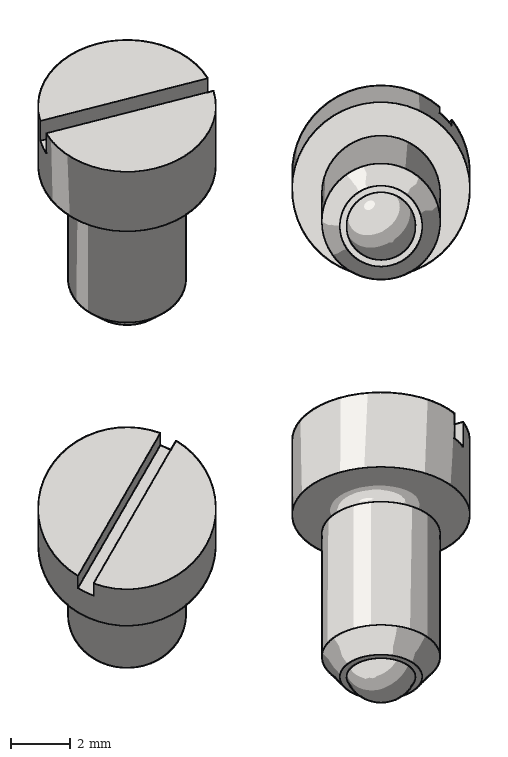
import cadquery as cq

total_length = 10.3
head_diameter = 6.0
head_height = 3.0
slot_width = 0.6
slot_depth = 1.0

shank_diameter = 4.0
groove_height = 0.75

nose_end_radius = 1.39
nose_height = 0.8
ball_radius = 1.25
ball_protrusion = 0.8

head_radius = head_diameter / 2
shank_radius = shank_diameter / 2
groove_radius = groove_height / 2
head_bottom = total_length - head_height
groove_bottom = head_bottom - groove_height
nose_bottom = ball_protrusion
nose_top = nose_bottom + nose_height


def make_ball():
    """Ball whose lowest point lies at Z = 0."""
    return cq.Workplane("XY").sphere(ball_radius).translate((0, 0, ball_radius))


def make_turned_body():
    """Head, grooved shank and conical nose, revolved about Z."""
    groove_middle = (shank_radius - groove_radius, groove_bottom + groove_radius)
    return (
        cq.Workplane("XZ")
        .moveTo(0, nose_bottom)
        .lineTo(nose_end_radius, nose_bottom)
        .lineTo(shank_radius, nose_top)
        .lineTo(shank_radius, groove_bottom)
        .threePointArc(groove_middle, (shank_radius, head_bottom))
        .lineTo(head_radius, head_bottom)
        .lineTo(head_radius, total_length)
        .lineTo(0, total_length)
        .close()
        .revolve(360, (0, 0, 0), (0, 1, 0))
    )


def make_driver_slot():
    """Cutter for the screwdriver slot, running along Y across the whole head."""
    return (
        cq.Workplane("XY")
        .workplane(offset=total_length - slot_depth)
        .rect(slot_width, head_diameter)
        .extrude(slot_depth)
    )


def make_screw():
    """Slotted screw body with a spherical seat that matches the ball."""
    return make_turned_body().cut(make_driver_slot()).cut(make_ball())


screw = make_screw()
ball = make_ball()

result = cq.Compound.makeCompound([screw.solids().val(), ball.val()])